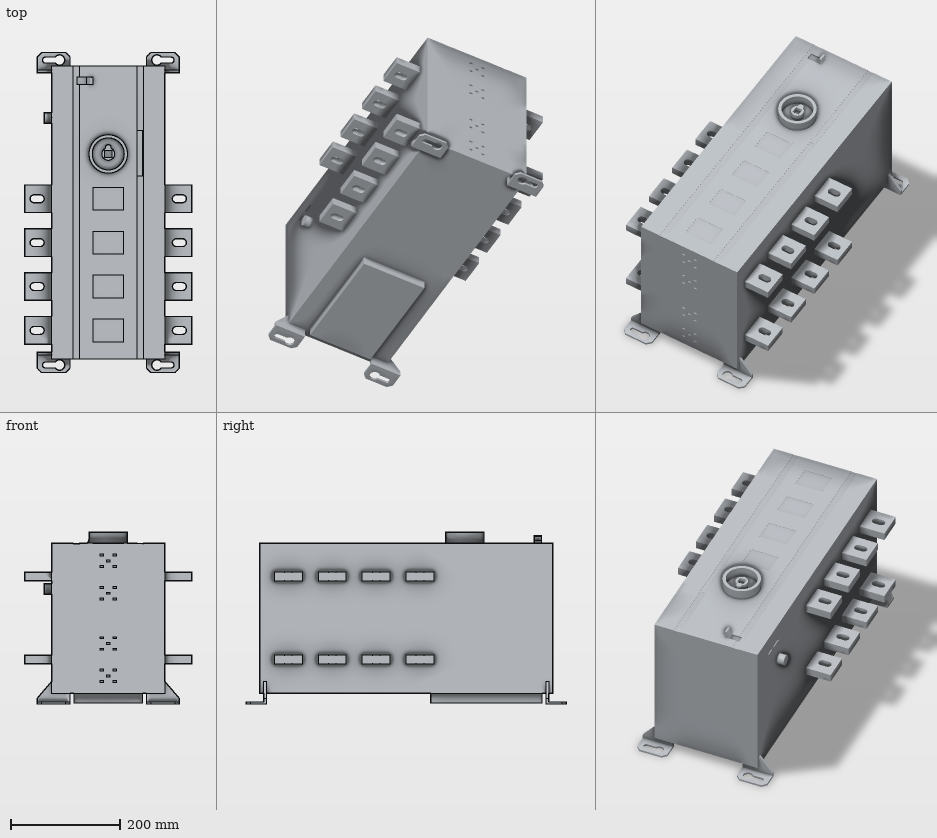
import cadquery as cq

body_width = 207.0
body_length = 536.0
body_bottom = 19.5
body_top = 294.0
body_height = body_top - body_bottom
mark_depth = 0.5

total_width = 306.0
total_length = 586.0
total_height = 314.5

pole_count = 4
pole_pitch = 80.0
first_pole_y = 25.0
pole_rows = [first_pole_y - i * pole_pitch for i in range(pole_count)]
terminal_width = 51.0
terminal_thickness = 16.0
terminal_levels = (81.5, 233.0)
terminal_reach = (total_width - body_width) / 2
terminal_slot_x = 130.0
terminal_slot_length = 25.0
terminal_slot_width = 14.0

foot_inner_x = 70.0
foot_outer_x = 130.0
foot_thickness = 4.0
foot_web_thickness = 5.0
foot_web_back_y = 255.5
foot_web_top = 43.5
foot_web_outer_height = 10.5
foot_web_shoulder_x = 102.0
foot_corner = 8.0
keyhole_y = 279.0
keyhole_round_x = 89.0
keyhole_round_radius = 9.5
keyhole_end_x = 115.0
keyhole_slot_width = 10.5

base_width = 126.0
base_length = 204.0
base_center_y = 146.5
base_bottom = 2.0

groove_inner_x = 52.0
groove_width = 12.5
groove_center_x = groove_inner_x + groove_width / 2
window_width = 55.0
window_length = 41.5
label_width = 10.5
label_length = 82.5
label_center_y = 108.5
label_height = 0.3

socket_y = 107.0
collar_radius = 35.0
collar_inner_radius = 29.5
hub_radius = 12.0
hub_top = 309.0
square_size = 13.0
square_depth = 12.0
nose_radius = 5.0
nose_offset = 12.0

lever_center_y = 241.0
lever_width = 13.5
pocket_left_x = -57.5
pocket_depth = 3.5
lever_left_x = -40.0
lever_right_x = -27.5
lever_neck_x = -30.5
lever_neck_z = 299.0
lever_head_left_x = -33.0
lever_head_z = 306.5
lever_top = 308.0

button_radius = 10.0
button_length = 14.0
button_y = 173.0
button_z = 210.5
indicator_z = 258.5
indicator_height = 7.5
indicator_depth = 3.5
indicators = ((211.5, 17.0), (184.5, 22.0))

vent_width = 6.5
vent_height = 3.5
vent_depth = 3.5
vent_offset_x = 12.5
vent_offset_z = 10.5
vent_group_levels = (51.5, 111.0, 203.0, 262.0)


def box(size_x, size_y, size_z, x, y, bottom):
    """Box centred on x and y, standing on the given bottom height."""
    return cq.Workplane("XY").box(size_x, size_y, size_z, (True, True, False)).translate((x, y, bottom))


def cylinder(radius, y, bottom, top):
    """Upright cylinder on the X = 0 plane."""
    return cq.Workplane("XY", (0, y, bottom)).circle(radius).extrude(top - bottom)


def right_terminal(y, z):
    center_x = (body_width + terminal_reach) / 2
    bar = box(terminal_reach, terminal_width, terminal_thickness, center_x, y, z - terminal_thickness / 2)
    slot = (
        cq.Workplane("XY", (terminal_slot_x, y, z))
        .slot2D(terminal_slot_length, terminal_slot_width)
        .extrude(terminal_thickness, both=True)
    )
    return bar.cut(slot)


def right_rear_foot():
    width = foot_outer_x - foot_inner_x
    depth = total_length / 2 - foot_web_back_y
    center_x = (foot_inner_x + foot_outer_x) / 2
    plate = box(width, depth, foot_thickness, center_x, total_length / 2 - depth / 2, 0)
    plate = plate.edges("|Z and >Y").chamfer(foot_corner)
    keyhole_round = cq.Workplane("XY", (keyhole_round_x, keyhole_y, 0)).circle(keyhole_round_radius)
    keyhole_slot = (
        cq.Workplane("XY", ((keyhole_round_x + keyhole_end_x) / 2, keyhole_y, 0))
        .slot2D(keyhole_end_x - keyhole_round_x + keyhole_slot_width, keyhole_slot_width)
    )
    plate = plate.cut(keyhole_round.extrude(foot_thickness)).cut(keyhole_slot.extrude(foot_thickness))
    web = (
        cq.Workplane("XZ", (0, foot_web_back_y, 0))
        .polyline([
            (foot_inner_x, 0),
            (foot_outer_x, 0),
            (foot_outer_x, foot_web_outer_height),
            (foot_web_shoulder_x, foot_web_top),
            (foot_inner_x, foot_web_top),
        ])
        .close()
        .extrude(-foot_web_thickness)
    )
    return plate.union(web)


def lid_recess(width, length, x, y, depth=mark_depth):
    return box(width, length, depth, x, y, body_top - depth)


def lever():
    """Leaning lever with a rounded head that overhangs its neck."""
    pocket_floor = body_top - pocket_depth
    head_center_x = (lever_head_left_x + lever_right_x) / 2
    return (
        cq.Workplane("XZ", (0, lever_center_y, 0))
        .moveTo(lever_left_x, pocket_floor)
        .lineTo(lever_right_x, pocket_floor)
        .lineTo(lever_right_x, body_top)
        .lineTo(lever_neck_x, lever_neck_z)
        .lineTo(lever_right_x, lever_head_z)
        .threePointArc((head_center_x, lever_top), (lever_head_left_x, lever_head_z))
        .close()
        .extrude(lever_width / 2, both=True)
    )


def drive_socket():
    collar = cylinder(collar_radius, socket_y, body_top, total_height)
    collar = collar.cut(cylinder(collar_inner_radius, socket_y, body_top, total_height))
    hub = cylinder(hub_radius, socket_y, body_top, hub_top)
    hub = hub.union(cylinder(nose_radius, socket_y + nose_offset, body_top, hub_top))
    hub = hub.cut(box(square_size, square_size, square_depth, 0, socket_y, hub_top - square_depth))
    return collar.union(hub)


def vent(x, z):
    front_y = -body_length / 2
    return box(vent_width, vent_depth, vent_height, x, front_y + vent_depth / 2, z - vent_height / 2)


result = box(body_width, body_length, body_height, 0, 0, body_bottom)
for side in (-1, 1):
    result = result.cut(lid_recess(groove_width, body_length, side * groove_center_x, 0))
for pole_y in pole_rows:
    result = result.cut(lid_recess(window_width, window_length, 0, pole_y))
label_x = groove_inner_x + label_width / 2
groove_floor = body_top - mark_depth
result = result.union(box(label_width, label_length, label_height, label_x, label_center_y, groove_floor))

pocket_width = lever_right_x - pocket_left_x
pocket_x = (lever_right_x + pocket_left_x) / 2
result = result.cut(lid_recess(pocket_width, lever_width, pocket_x, lever_center_y, pocket_depth))
result = result.union(lever())

result = result.union(drive_socket())

for level in vent_group_levels:
    result = result.cut(vent(0, level))
    for side in (-1, 1):
        for step in (-1, 1):
            result = result.cut(vent(side * vent_offset_x, level + step * vent_offset_z))

for indicator_y, indicator_length in indicators:
    result = result.cut(box(
        indicator_depth,
        indicator_length,
        indicator_height,
        (indicator_depth - body_width) / 2,
        indicator_y,
        indicator_z - indicator_height / 2,
    ))
button_face = cq.Workplane("YZ", (-body_width / 2, button_y, button_z)).circle(button_radius)
result = result.union(button_face.extrude(-button_length))

for level in terminal_levels:
    for pole_y in pole_rows:
        terminal = right_terminal(pole_y, level)
        result = result.union(terminal).union(terminal.mirror("YZ"))

result = result.union(
    box(base_width, base_length, body_bottom - base_bottom, 0, base_center_y, base_bottom)
)
rear_feet = right_rear_foot().union(right_rear_foot().mirror("YZ"))
result = result.union(rear_feet).union(rear_feet.mirror("XZ"))